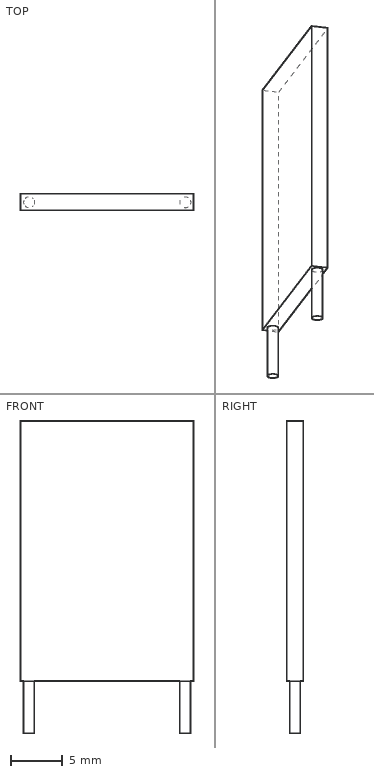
import cadquery as cq

plate_width = 16.89
plate_thickness = 1.64
plate_height = 25.4

overall_height = 30.5
pin_diameter = 1.07
pin_spacing = 15.24
pin_length = overall_height - plate_height


def make_plate():
    """Plate centred on the Z axis, with its bottom face on Z = 0."""
    return cq.Workplane("XY").box(
        plate_width, plate_thickness, plate_height, centered=(True, True, False)
    )


def make_pin(x):
    """Round pin hanging down from the bottom face of the plate."""
    return cq.Workplane("XY").center(x, 0).circle(pin_diameter / 2).extrude(-pin_length)


plate = make_plate()
pins = [make_pin(side * pin_spacing / 2) for side in (-1, 1)]

result = cq.Compound.makeCompound([plate.val(), *[pin.val() for pin in pins]])